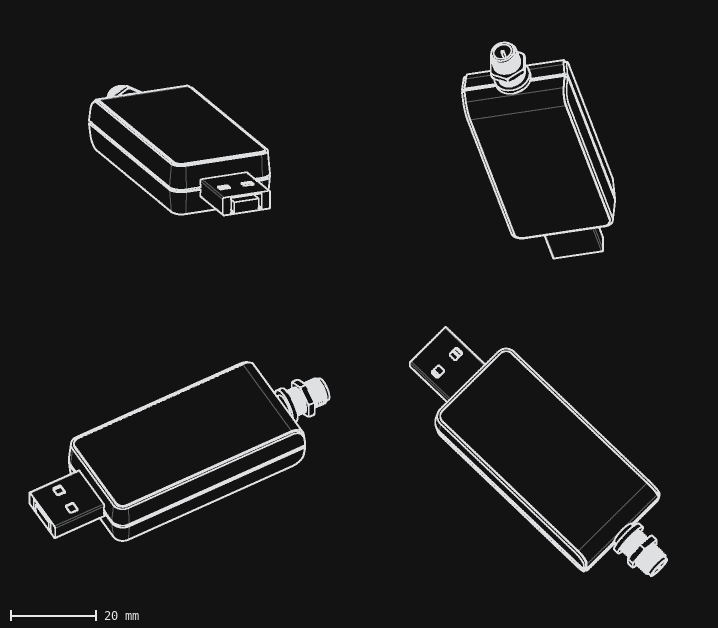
import cadquery as cq
import math

HOUSING_BACK = 11.8
HOUSING_LENGTH = 50.8
HOUSING_FRONT = HOUSING_BACK + HOUSING_LENGTH
HOUSING_WIDTH = 25.4
HOUSING_HEIGHT = 12.7
DRAFT = 5.0
CORNER_RADIUS = 3.0
BACK_ROUND = 3.2
LEDGE_WIDTH = 0.7
PANEL_RISE = 0.4
GROOVE_WIDTH = 0.7
GROOVE_DEPTH = 0.6

TIP_RADIUS = 2.7
THREAD_START = 0.9
THREAD_RADIUS = 3.2
THREAD_PITCH = 0.5
THREAD_DEPTH = 0.4
THREAD_CREST = 0.04
BORE_RADIUS = 2.1
BORE_DEPTH = 6.05
PIN_RADIUS = 0.3
NUT_START = 4.7
NUT_END = 6.35
NUT_ACROSS_FLATS = 7.95
NUT_CHAMFER = 0.2
FLANGE_START = 9.4
FLANGE_END = 10.7
FLANGE_RADIUS = 4.25
COLLAR_RADIUS = 2.95
INSERTION = 1.9

PLUG_END = 75.7
PLUG_WIDTH = 12.05
PLUG_HEIGHT = 4.5
PLUG_EDGE_RADIUS = 0.4
WINDOW_START = 68.45
WINDOW_LENGTH = 2.05
WINDOW_INNER = 1.75
WINDOW_WIDTH = 2.5
WINDOW_CORNER_RADIUS = 0.3
SHELL_THICKNESS = 0.4
MOUTH_DEPTH = 9.1
MOUTH_WIDTH = 7.9
TONGUE_WIDTH = 6.2
TONGUE_TOP = 0.7


def plan_outline(back, front, width, corner_radius):
    """Rectangle with its two plug-end corners rounded."""
    return (
        cq.Sketch()
        .push([((back + front) / 2, 0)])
        .rect(front - back, width)
        .reset()
        .vertices(">X")
        .fillet(corner_radius)
    )


def half_shell(back, inset, top):
    """Upper half of the drafted block, drawn in from the sides by inset, with a rounded back edge."""
    outline = plan_outline(
        back, HOUSING_FRONT - inset, HOUSING_WIDTH - 2 * inset, CORNER_RADIUS - inset
    )
    return (
        cq.Workplane("XY")
        .workplane(offset=GROOVE_WIDTH / 2)
        .placeSketch(outline)
        .extrude(top - GROOVE_WIDTH / 2, taper=DRAFT)
        .faces(">Z")
        .edges("<X")
        .fillet(BACK_ROUND)
    )


def make_housing():
    """Two mirrored halves, each a raised panel on a lower border, parted by a groove."""
    border = half_shell(HOUSING_BACK + PANEL_RISE, 0, HOUSING_HEIGHT / 2 - PANEL_RISE)
    panel = half_shell(HOUSING_BACK, LEDGE_WIDTH, HOUSING_HEIGHT / 2)
    upper = border.union(panel)
    core = (
        cq.Workplane("XY")
        .workplane(offset=-GROOVE_WIDTH / 2)
        .placeSketch(
            plan_outline(
                HOUSING_BACK + GROOVE_DEPTH,
                HOUSING_FRONT - GROOVE_DEPTH,
                HOUSING_WIDTH - 2 * GROOVE_DEPTH,
                CORNER_RADIUS - GROOVE_DEPTH,
            )
        )
        .extrude(GROOVE_WIDTH)
    )
    return core.union(upper).union(upper.mirror("XY"))


def rod(start, end, radius):
    """Cylinder along X."""
    return cq.Workplane("YZ").workplane(offset=start).circle(radius).extrude(end - start)


def make_nut():
    """Hexagon with corners up and down, its end corners bevelled."""
    length = NUT_END - NUT_START
    corner_radius = NUT_ACROSS_FLATS / math.sqrt(3)
    hexagon = (
        cq.Workplane("YZ")
        .workplane(offset=NUT_START)
        .polygon(6, 2 * corner_radius)
        .extrude(length)
        .rotate((0, 0, 0), (1, 0, 0), 90)
    )
    envelope = rod(NUT_START, NUT_END, corner_radius).edges().chamfer(NUT_CHAMFER)
    return hexagon.intersect(envelope)


def make_thread_cutter():
    """V-shaped ridge wound around the X axis, removed from the barrel to leave the thread."""
    root_radius = THREAD_RADIUS - THREAD_DEPTH
    outer_radius = THREAD_RADIUS + THREAD_CREST
    groove_half_width = (THREAD_PITCH - THREAD_CREST) / 2
    helix = cq.Wire.makeHelix(THREAD_PITCH, FLANGE_START - THREAD_START, root_radius)
    ridge = (
        cq.Workplane("XZ")
        .moveTo(root_radius, 0)
        .lineTo(outer_radius, groove_half_width)
        .lineTo(outer_radius, -groove_half_width)
        .close()
        .sweep(cq.Workplane(helix), isFrenet=True)
    )
    return ridge.rotate((0, 0, 0), (0, 1, 0), 90).translate((THREAD_START, 0, 0))


def make_barrel():
    """Threaded barrel, cut over-long so that the thread runs out through both of its ends."""
    overrun = rod(THREAD_START - THREAD_PITCH, FLANGE_START + THREAD_PITCH, THREAD_RADIUS)
    return overrun.cut(make_thread_cutter()).intersect(rod(THREAD_START, FLANGE_START, FLANGE_RADIUS))


def make_connector():
    """Threaded jack with its nut and flange, a socket in the tip and a pin in the socket."""
    bore = rod(0, BORE_DEPTH, BORE_RADIUS).cut(rod(0, BORE_DEPTH, PIN_RADIUS))
    return (
        make_barrel()
        .union(rod(0, THREAD_START, TIP_RADIUS))
        .union(rod(FLANGE_START, FLANGE_END, FLANGE_RADIUS))
        .union(rod(FLANGE_END, HOUSING_BACK + INSERTION, COLLAR_RADIUS))
        .union(make_nut())
        .cut(bore)
    )


def make_mouth():
    """Cavity open at the plug end, with the contact tongue left standing on its floor."""
    inside_top = PLUG_HEIGHT / 2 - SHELL_THICKNESS
    start = PLUG_END - MOUTH_DEPTH
    cavity = cq.Workplane("XY").box(
        MOUTH_DEPTH, MOUTH_WIDTH, 2 * inside_top, centered=(False, True, True)
    )
    tongue = (
        cq.Workplane("XY")
        .workplane(offset=-inside_top)
        .box(MOUTH_DEPTH, TONGUE_WIDTH, inside_top + TONGUE_TOP, centered=(False, True, False))
    )
    return cavity.cut(tongue).translate((start, 0, 0))


def make_windows():
    """Two rounded windows through the top wall, mirrored about the centre plane."""
    centre_y = WINDOW_INNER + WINDOW_WIDTH / 2
    return (
        cq.Workplane("XY")
        .workplane(offset=PLUG_HEIGHT / 2 - SHELL_THICKNESS)
        .pushPoints([(WINDOW_START + WINDOW_LENGTH / 2, side * centre_y) for side in (1, -1)])
        .rect(WINDOW_LENGTH, WINDOW_WIDTH)
        .extrude(SHELL_THICKNESS)
        .edges("|Z")
        .fillet(WINDOW_CORNER_RADIUS)
    )


def make_plug():
    """Rounded shell with an open mouth and two windows in its top wall."""
    start = HOUSING_FRONT - INSERTION
    return (
        cq.Workplane("XY")
        .box(PLUG_END - start, PLUG_WIDTH, PLUG_HEIGHT, centered=(False, True, True))
        .edges("|X")
        .fillet(PLUG_EDGE_RADIUS)
        .translate((start, 0, 0))
        .cut(make_mouth())
        .cut(make_windows())
    )


connector = make_connector()
plug = make_plug()
housing = make_housing().cut(connector).cut(plug)

result = cq.Compound.makeCompound([body.solids().val() for body in (housing, connector, plug)])